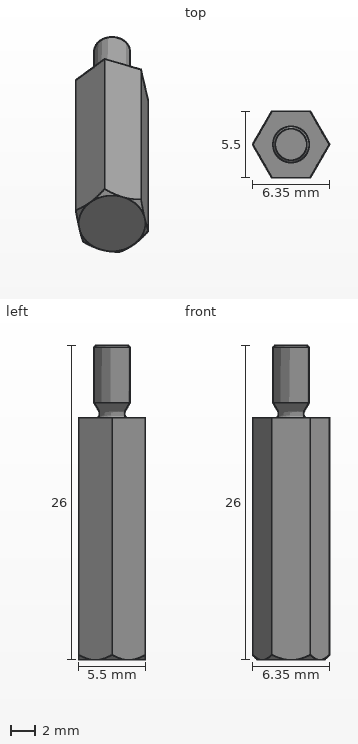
import cadquery as cq
import math

side_count = 6
across_flats = 5.5
across_corners = across_flats / math.cos(math.radians(180 / side_count))
body_length = 20.0
foot_diameter = across_flats
foot_chamfer_angle = 45.0

stud_length = 6.0
stud_radius = 3.0 / 2
tip_chamfer = 0.2

neck_radius = 2.13 / 2
undercut_length = 1.25
undercut_cone_angle = 30.0
neck_fillet_radius = 0.2

total_length = body_length + stud_length


def make_body():
    """Hexagonal prism with two corners on X and a conical chamfer at the foot."""
    prism = cq.Workplane("XY").polygon(side_count, across_corners).extrude(body_length)
    foot_radius = foot_diameter / 2
    corner_radius = across_corners / 2
    chamfer_height = (corner_radius - foot_radius) / math.tan(math.radians(foot_chamfer_angle))
    envelope = (
        cq.Workplane("XZ")
        .moveTo(0, 0)
        .lineTo(foot_radius, 0)
        .lineTo(corner_radius, chamfer_height)
        .lineTo(corner_radius, body_length)
        .lineTo(0, body_length)
        .close()
        .revolve(360, (0, 0, 0), (0, 1, 0))
    )
    return prism.intersect(envelope)


def make_stud():
    """Revolved stud with a chamfered tip and a filleted undercut at its root."""
    cone_angle = math.radians(undercut_cone_angle)
    thread_start = body_length + undercut_length
    cone_height = (stud_radius - neck_radius) / math.tan(cone_angle)
    cone_start = thread_start - cone_height

    root_center_x = neck_radius + neck_fillet_radius
    root_center_z = body_length + neck_fillet_radius
    root_middle_angle = math.radians(45)
    root_middle = (
        root_center_x - neck_fillet_radius * math.cos(root_middle_angle),
        root_center_z - neck_fillet_radius * math.sin(root_middle_angle),
    )

    blend_start_z = cone_start - neck_fillet_radius * math.tan(cone_angle / 2)
    blend_middle = (
        root_center_x - neck_fillet_radius * math.cos(cone_angle / 2),
        blend_start_z + neck_fillet_radius * math.sin(cone_angle / 2),
    )
    blend_end = (
        root_center_x - neck_fillet_radius * math.cos(cone_angle),
        blend_start_z + neck_fillet_radius * math.sin(cone_angle),
    )

    return (
        cq.Workplane("XZ")
        .moveTo(0, body_length)
        .lineTo(root_center_x, body_length)
        .threePointArc(root_middle, (neck_radius, root_center_z))
        .lineTo(neck_radius, blend_start_z)
        .threePointArc(blend_middle, blend_end)
        .lineTo(stud_radius, thread_start)
        .lineTo(stud_radius, total_length - tip_chamfer)
        .lineTo(stud_radius - tip_chamfer, total_length)
        .lineTo(0, total_length)
        .close()
        .revolve(360, (0, 0, 0), (0, 1, 0))
    )


result = make_body().union(make_stud())